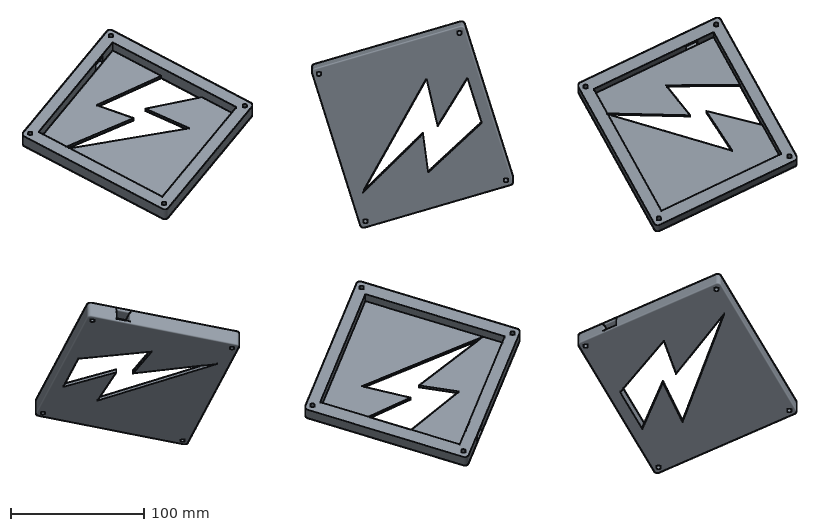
import cadquery as cq

length = 130.0
width = 120.0
height = 13.0
corner_radius = 3.0
base_rounding = 1.0

rim_width = 9.5
floor_thickness = 3.0
cavity_length = length - 2 * rim_width
cavity_width = width - 2 * rim_width

screw_hole_diameter = 3.4
screw_hole_inset = 5.0

window_width = 9.9
window_height = 7.4
window_rounding = 1.0
window_y = 32.2
window_z = 6.6

bolt_top_y = cavity_width / 2
bolt_points = [
    (-12.0, bolt_top_y),
    (24.5, bolt_top_y),
    (-5.0, 18.2),
    (32.8, 20.9),
    (-38.1, -bolt_top_y),
    (-7.3, 6.0),
    (-37.3, 0.9),
]


def make_tray():
    """Rounded block with a rounded lower edge and a rectangular cavity."""
    block = (
        cq.Workplane("XY")
        .box(length, width, height, centered=(True, True, False))
        .edges("|Z")
        .fillet(corner_radius)
        .faces("<Z")
        .edges()
        .fillet(base_rounding)
    )
    cavity = (
        cq.Workplane("XY", origin=(0, 0, floor_thickness))
        .rect(cavity_length, cavity_width)
        .extrude(height - floor_thickness)
    )
    return block.cut(cavity)


def make_screw_holes():
    """Four through holes, one in each corner of the rim."""
    return (
        cq.Workplane("XY")
        .rect(length - 2 * screw_hole_inset, width - 2 * screw_hole_inset, forConstruction=True)
        .vertices()
        .circle(screw_hole_diameter / 2)
        .extrude(height)
    )


def make_bolt():
    """Lightning bolt prism as thick as the floor."""
    return cq.Workplane("XY").polyline(bolt_points).close().extrude(floor_thickness)


def cut_window(body):
    """Cut a rectangular passage through the -X wall and round its outer mouth."""
    passage = (
        cq.Workplane("YZ", origin=(-length / 2, window_y, window_z))
        .rect(window_width, window_height)
        .extrude(rim_width)
    )
    outer_wall = body.cut(passage).faces("<X")
    mouth_edges = outer_wall.val().innerWires()[0].Edges()
    return outer_wall.newObject(mouth_edges).fillet(window_rounding)


tray = make_tray().cut(make_screw_holes()).cut(make_bolt())
result = cut_window(tray)